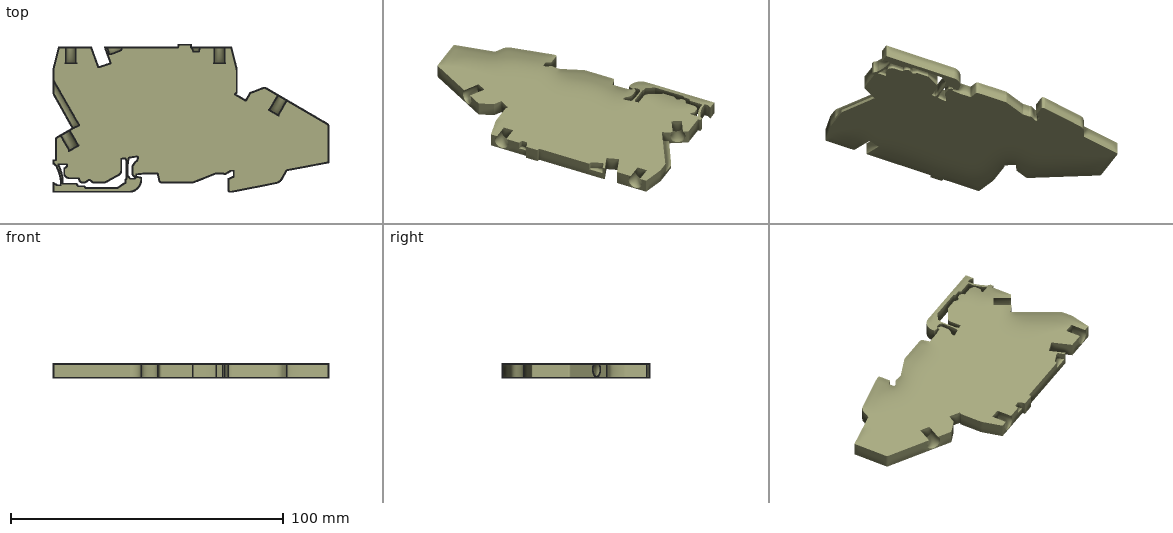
import cadquery as cq
import math

LENGTH = 101.0
HEIGHT = 54.0
THICKNESS = 5.1

TOP_EDGE = HEIGHT - 1.0
BLOCK_RIGHT = 67.3
SHOULDER_Y = 45.1
CHAMFER_RUN = 2.0
RAIL_SEAT_Y = 6.75
BELLY_Y = 3.4
CLAW_LEFT = 64.2
WALL_LEFT = 0.95
SPRING_TOP_Y = 11.65
FOOT_LEFT_Y = 3.35
FOOT_RIGHT = 32.25
FOOT_FLOOR_Y = 1.5
FOOT_STEP_Y = 2.1
FOOT_LAND_Y = 3.0
CHANNEL_TOP_Y = 10.1
BODY_LEFT_HEEL_X = 3.95
BODY_RIGHT_HEEL_X = 24.95
HEEL_Y = 4.95
LEG_LEFT = 26.8
LEG_RIGHT = 27.35
HOOK_LEFT = 28.95
HOOK_FLOOR_Y = 4.9
FOOT_TIP_X = 30.5
FOOT_TIP_Y = 5.5

NOSE_TOP = (77.5, 38.35)
NOSE_RIGHT_TOP = (LENGTH, 24.65)
NOSE_RIGHT_BOTTOM = (LENGTH, 10.8)
BELLY_LEFT = (39.0, BELLY_Y)
WALL_TOP = (WALL_LEFT, 19.75)
CLAW_BOTTOM = (CLAW_LEFT, 0)
LEFT_SHOULDER = (0, SHOULDER_Y)
RIGHT_SHOULDER = (BLOCK_RIGHT, SHOULDER_Y)

GENTLE_RADIUS = 4.0
LEDGE_RADIUS = 2.0
LARGE_RADIUS = 1.0
MEDIUM_RADIUS = 0.6
SMALL_RADIUS = 0.4

LEDGE_THICKNESS = 1.15
LEDGE_OUTER_TOP = (0.0, 36.05)
LEDGE_OUTER_BOTTOM = (7.1, 23.3)
LEDGE_INNER_TOP = (0.0, 41.0)
LEDGE_INNER_BOTTOM = (9.5, 24.4)

BORE_RADIUS = 2.75
BORE_AXIS_Z = 3.1
BORE_DEPTH = 5.75
ANGLED_BORE_DEPTH = 6.3
BORE_OVERRUN = 1.5
LEFT_BORE_X = 6.4
RIGHT_BORE_X = 60.95
LOWER_BORE_MOUTH = (4.4, 21.5)
NOSE_BORE_MOUTH = (84.0, 34.5)
DOWN = -90
DOWN_RIGHT = -60
DOWN_LEFT = -120

POCKET_DEPTH = THICKNESS / 2
NOTCH_POCKET = [(19.75, TOP_EDGE), (20.5, 50.55), (21.3, 50.55), (24.9, 51.95), (25.3, TOP_EDGE)]
PAD_POCKET = [(50.7, TOP_EDGE), (51.3, 51.5), (53.4, 51.5), (53.85, TOP_EDGE)]

FOOT_GAP = 0.15
OVERLAP = 0.1


def extrude(sketch):
    """Close a sketch and raise it to the full plate thickness."""
    return sketch.close().extrude(THICKNESS)


def make_plate():
    """Full outline with the clamping foot still joined to the body."""
    outline = (
        cq.Workplane("XY")
        .moveTo(*LEFT_SHOULDER)
        .lineTo(CHAMFER_RUN, TOP_EDGE)
        .lineTo(13.9, TOP_EDGE)
        .lineTo(16.55, 45.7)
        .lineTo(21.0, 47.2)
        .lineTo(18.9, TOP_EDGE)
        .lineTo(45.7, TOP_EDGE)
        .lineTo(45.9, HEIGHT)
        .lineTo(50.55, HEIGHT)
        .lineTo(50.55, TOP_EDGE)
        .lineTo(BLOCK_RIGHT - CHAMFER_RUN, TOP_EDGE)
        .lineTo(*RIGHT_SHOULDER)
        .lineTo(BLOCK_RIGHT, 36.4)
        .lineTo(66.7, 35.8)
        .lineTo(70.6, 33.5)
        .lineTo(72.2, 36.3)
        .lineTo(*NOSE_TOP)
        .lineTo(*NOSE_RIGHT_TOP)
        .lineTo(*NOSE_RIGHT_BOTTOM)
        .lineTo(85.6, 7.9)
        .lineTo(83.9, 4.9)
        .threePointArc((83.0, 3.85), (81.4, 3.15))
        .lineTo(65.4, 0)
        .lineTo(*CLAW_BOTTOM)
        .lineTo(CLAW_LEFT, 4.75)
        .lineTo(66.1, 5.6)
        .lineTo(66.1, 7.7)
        .lineTo(65.1, 7.7)
        .lineTo(63.2, 6.6)
        .lineTo(62.8, 6.5)
        .lineTo(62.2, RAIL_SEAT_Y)
        .lineTo(59.7, RAIL_SEAT_Y)
        .lineTo(51.2, BELLY_Y)
        .lineTo(*BELLY_LEFT)
        .lineTo(38.25, RAIL_SEAT_Y)
        .lineTo(33.6, RAIL_SEAT_Y)
        .lineTo(FOOT_TIP_X, 6.4)
        .lineTo(FOOT_TIP_X, FOOT_TIP_Y)
        .lineTo(31.4, 5.45)
        .lineTo(FOOT_RIGHT, 5.15)
        .threePointArc((31.3, 1.75), (28.2, 0))
        .lineTo(0, 0)
        .lineTo(0, FOOT_LEFT_Y)
        .lineTo(1.4, 2.45)
        .lineTo(2.7, 2.45)
        .threePointArc((2.4, 5.9), (1.4, 8.7))
        .threePointArc((0.85, 9.75), (0, 10.4))
        .lineTo(0, SPRING_TOP_Y)
        .lineTo(WALL_LEFT, SPRING_TOP_Y)
        .lineTo(*WALL_TOP)
        .lineTo(*LEDGE_OUTER_BOTTOM)
        .lineTo(*LEDGE_OUTER_TOP)
    )
    return extrude(outline)


def make_foot_channel():
    """Channel that frees the foot, between the left spring and the middle leg."""
    channel = (
        cq.Workplane("XY")
        .moveTo(1.8, CHANNEL_TOP_Y)
        .lineTo(4.95, CHANNEL_TOP_Y)
        .lineTo(4.95, 9.4)
        .lineTo(BODY_LEFT_HEEL_X, 8.5)
        .lineTo(BODY_LEFT_HEEL_X, 6.4)
        .threePointArc((4.6, 5.5), (5.95, HEEL_Y))
        .lineTo(9.35, HEEL_Y)
        .threePointArc((9.8, 3.85), (10.6, BELLY_Y))
        .lineTo(11.6, BELLY_Y)
        .lineTo(12.95, 4.3)
        .lineTo(13.45, 4.3)
        .lineTo(14.6, BELLY_Y)
        .lineTo(18.95, BELLY_Y)
        .lineTo(23.7, 6.05)
        .threePointArc((24.6, 6.75), (BODY_RIGHT_HEEL_X, 7.7))
        .lineTo(BODY_RIGHT_HEEL_X, 12.1)
        .lineTo(26.4, 12.3)
        .lineTo(LEG_LEFT, 11.3)
        .lineTo(LEG_LEFT, 4.85)
        .lineTo(26.45, 4.5)
        .lineTo(26.45, 3.4)
        .lineTo(23.5, FOOT_FLOOR_Y)
        .lineTo(11.85, FOOT_FLOOR_Y)
        .lineTo(11.35, FOOT_STEP_Y)
        .lineTo(9.1, FOOT_STEP_Y)
        .lineTo(8.5, FOOT_LAND_Y)
        .lineTo(3.4, FOOT_LAND_Y)
        .lineTo(3.4, 5.2)
        .threePointArc((2.8, 7.7), (1.8, CHANNEL_TOP_Y))
    )
    return extrude(channel)


def make_hook_slot():
    """Slot on the far side of the middle leg, opening through the thin foot gap."""
    mouth_x = FOOT_TIP_X + OVERLAP
    slot = (
        cq.Workplane("XY")
        .moveTo(27.7, 12.5)
        .lineTo(30.6, 12.95)
        .lineTo(31.1, 12.75)
        .lineTo(30.7, 11.5)
        .threePointArc((29.6, 10.4), (HOOK_LEFT, 9.2))
        .lineTo(HOOK_LEFT, 6.4)
        .lineTo(29.75, FOOT_TIP_Y)
        .lineTo(mouth_x, FOOT_TIP_Y + FOOT_GAP)
        .lineTo(mouth_x, FOOT_TIP_Y)
        .lineTo(30.2, FOOT_TIP_Y - FOOT_GAP)
        .lineTo(29.8, HOOK_FLOOR_Y)
        .lineTo(28.15, HOOK_FLOOR_Y)
        .lineTo(LEG_RIGHT, 5.9)
        .lineTo(LEG_RIGHT, 10.2)
    )
    return extrude(slot)


def make_ledge_cut():
    """Material removed above the thin ledge on the left side."""
    return (
        cq.Workplane("XY")
        .workplane(offset=LEDGE_THICKNESS)
        .polyline([LEDGE_INNER_TOP, LEDGE_INNER_BOTTOM, LEDGE_OUTER_BOTTOM, LEDGE_OUTER_TOP])
        .close()
        .extrude(THICKNESS - LEDGE_THICKNESS)
    )


def make_bore(mouth, angle, depth):
    """Flat-ended bore running from its mouth on the edge into the plate."""
    along = cq.Vector(math.cos(math.radians(angle)), math.sin(math.radians(angle)), 0)
    start = cq.Vector(mouth[0], mouth[1], BORE_AXIS_Z) - along * BORE_OVERRUN
    return cq.Solid.makeCylinder(BORE_RADIUS, depth + BORE_OVERRUN, start, along)


def make_pocket(points):
    """Shallow recess sunk from the upper face."""
    return (
        cq.Workplane("XY")
        .workplane(offset=THICKNESS - POCKET_DEPTH)
        .polyline(points)
        .close()
        .extrude(POCKET_DEPTH)
    )


def round_corner(body, corner, radius, mid_z):
    """Round the upright edge of the plate at the given corner and mid height."""
    point = (corner[0], corner[1], mid_z)
    return body.edges("|Z").edges(cq.NearestToPointSelector(point)).fillet(radius)


def round_outline(body):
    """Round the exposed corners of the full-height outline."""
    corners = (
        (LEFT_SHOULDER, GENTLE_RADIUS),
        (RIGHT_SHOULDER, GENTLE_RADIUS),
        (LEDGE_OUTER_TOP, LEDGE_RADIUS),
        (NOSE_RIGHT_TOP, LARGE_RADIUS),
        (BELLY_LEFT, LARGE_RADIUS),
        (NOSE_TOP, MEDIUM_RADIUS),
        (CLAW_BOTTOM, MEDIUM_RADIUS),
        (WALL_TOP, MEDIUM_RADIUS),
        (NOSE_RIGHT_BOTTOM, SMALL_RADIUS),
    )
    for corner, radius in corners:
        body = round_corner(body, corner, radius, THICKNESS / 2)
    return body


def cut_ledge(body):
    """Step the left side down to the ledge and round the wall's outer corner."""
    wall_mid_z = (LEDGE_THICKNESS + THICKNESS) / 2
    body = body.cut(make_ledge_cut())
    return round_corner(body, LEDGE_INNER_TOP, LEDGE_RADIUS, wall_mid_z)


def cut_bores(body):
    """Two bores from the top edge and two angled ones, all of one diameter."""
    bores = (
        ((LEFT_BORE_X, TOP_EDGE), DOWN, BORE_DEPTH),
        ((RIGHT_BORE_X, TOP_EDGE), DOWN, BORE_DEPTH),
        (LOWER_BORE_MOUTH, DOWN_RIGHT, ANGLED_BORE_DEPTH),
        (NOSE_BORE_MOUTH, DOWN_LEFT, ANGLED_BORE_DEPTH),
    )
    for mouth, angle, depth in bores:
        body = body.cut(cq.Workplane(obj=make_bore(mouth, angle, depth)))
    return body


def cut_pockets(body):
    for points in (NOTCH_POCKET, PAD_POCKET):
        body = body.cut(make_pocket(points))
    return body


plate = round_outline(make_plate())
plate = plate.cut(make_foot_channel()).cut(make_hook_slot())
plate = cut_ledge(plate)
plate = cut_bores(plate)
result = cut_pockets(plate)